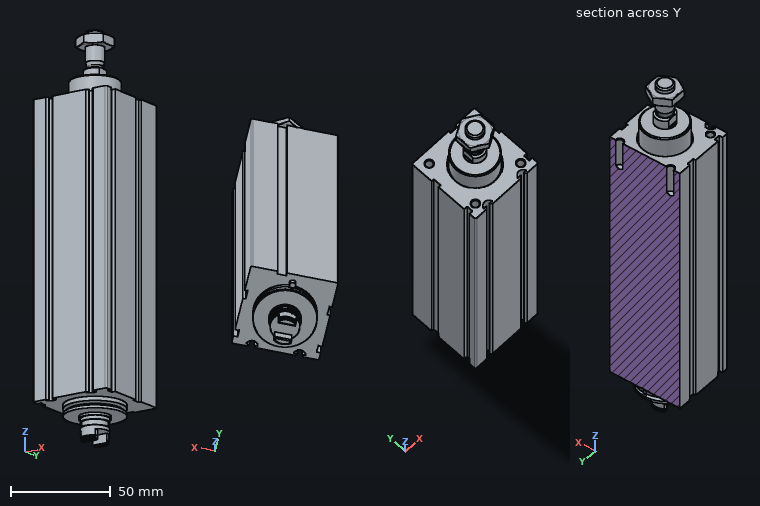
import cadquery as cq
import math

total_length = 214.8
top_z = total_length / 2
bottom_z = -total_length / 2

housing_side = 45.0
housing_half = housing_side / 2
housing_corner_radius = 0.9
housing_top_z = 70.5
housing_bottom_z = -87.5
housing_length = housing_top_z - housing_bottom_z

mount_hole_pitch = 32.5
mount_hole_offset = mount_hole_pitch / 2
mount_hole_diameter = 4.0
mount_hole_depth = 17.2
mount_hole_chamfer = 0.5
drill_point_angle = 118.0

collar_seat_diameter = 28.1
collar_seat_depth = 2.1

wide_slot_width = 4.7
wide_slot_depth = 1.5
side_slot_y = 6.0
back_slot_x = 6.2

narrow_slot_width = 3.7
narrow_slot_depth = 2.1
narrow_slot_y = -16.3

sensor_slot_x = 12.2
sensor_slot_diameter = 6.2
sensor_slot_opening = 2.1
sensor_lip_thickness = 1.3
sensor_slot_depth = 3.7
sensor_mouth_chamfer = 1.0

collar_diameter = 26.5
collar_top_z = 81.6
collar_chamfer = 0.6
collar_bottom_z = housing_top_z - collar_seat_depth

rod_diameter = 12.0
rod_flat_width = 9.9
rod_flat_bottom_z = 82.5
rod_shoulder_z = 87.9
rod_shoulder_diameter = 9.5
rod_chamfer_height = 0.9
neck_diameter = 8.5
neck_top_z = 89.1
thread_diameter = 9.9
thread_bottom_z = 91.0
thread_end_chamfer = 0.9

nut_width = 17.2
nut_face_diameter = 16.8
nut_bottom_z = 99.2
nut_height = 5.2
nut_corner_drop = 0.5

flange_diameter = 32.2
flange_groove_diameter = 28.8
flange_rim_bottom_z = -89.5
flange_groove_z = -90.6
flange_lower_rim_z = -92.0
flange_bottom_z = -93.5

stub_collar_diameter = 16.3
stub_diameter = 15.0
stub_neck_diameter = 13.7
stub_collar_bottom_z = -94.7
stub_neck_top_z = -96.7
stub_neck_bottom_z = -99.7
stub_bottom_z = -101.8

fork_gap = 8.0
fork_width = 8.8
fork_groove_top_z = -105.0
fork_groove_bottom_z = -106.0
fork_groove_depth = 0.5
fork_end_chamfer = 0.6

pin_diameter = 3.2
pin_y = 17.6
pin_bottom_z = -90.2


def cylinder(diameter, low_z, high_z):
    """Solid cylinder on the Z axis between two heights."""
    return cq.Workplane("XY").workplane(offset=low_z).circle(diameter / 2).extrude(high_z - low_z)


def turned(profile, tip_z=None):
    """Solid of revolution about Z from upward (radius, z) points, with a flat or pointed lower end."""
    low_z = profile[0][1] if tip_z is None else tip_z
    points = [(0, low_z)] + profile + [(0, profile[-1][1])]
    return cq.Workplane("XZ").polyline(points).close().revolve(360, (0, 0), (0, 1))


def full_length_slot(center_x, center_y, size_x, size_y):
    """Rectangular groove cutter that runs the whole housing length."""
    return (
        cq.Workplane("XY").workplane(offset=housing_bottom_z)
        .center(center_x, center_y).rect(size_x, size_y).extrude(housing_length)
    )


def sensor_slot(center_x):
    """Arched sensor groove, open to the -Y face through a narrow flared mouth."""
    radius = sensor_slot_diameter / 2
    crown_y = -housing_half + sensor_slot_depth
    lip_y = -housing_half + sensor_lip_thickness
    half_mouth = sensor_slot_opening / 2
    half_chord = math.sqrt(radius**2 - (lip_y - crown_y + radius) ** 2)
    chamfer_y = -housing_half + sensor_mouth_chamfer
    flare = half_mouth + sensor_mouth_chamfer
    return (
        cq.Workplane("XY").workplane(offset=housing_bottom_z).center(center_x, 0)
        .moveTo(-flare, -housing_half)
        .lineTo(-half_mouth, chamfer_y)
        .lineTo(-half_mouth, lip_y)
        .lineTo(-half_chord, lip_y)
        .threePointArc((0, crown_y), (half_chord, lip_y))
        .lineTo(half_mouth, lip_y)
        .lineTo(half_mouth, chamfer_y)
        .lineTo(flare, -housing_half)
        .close().extrude(housing_length)
    )


def mount_hole(center_x, center_y):
    """Blind drilled hole with a chamfered mouth and a conical drill point."""
    radius = mount_hole_diameter / 2
    floor_z = housing_top_z - mount_hole_depth
    point_z = floor_z - radius / math.tan(math.radians(drill_point_angle / 2))
    cutter = turned([
        (radius, floor_z),
        (radius, housing_top_z - mount_hole_chamfer),
        (radius + mount_hole_chamfer, housing_top_z),
    ], tip_z=point_z)
    return cutter.translate((center_x, center_y, 0))


def make_housing():
    """Square barrel with profile grooves, four mounting holes and a seat for the collar."""
    body = (
        cq.Workplane("XY").workplane(offset=housing_bottom_z)
        .rect(housing_side, housing_side).extrude(housing_length)
        .edges("|Z").fillet(housing_corner_radius)
    )
    wide_reach = 2 * wide_slot_depth
    narrow_reach = 2 * narrow_slot_depth
    for side in (-1, 1):
        face_x = side * housing_half
        body = body.cut(full_length_slot(face_x, side_slot_y, wide_reach, wide_slot_width))
        body = body.cut(full_length_slot(face_x, narrow_slot_y, narrow_reach, narrow_slot_width))
        body = body.cut(sensor_slot(side * sensor_slot_x))
        for end in (-1, 1):
            body = body.cut(mount_hole(side * mount_hole_offset, end * mount_hole_offset))
    body = body.cut(full_length_slot(back_slot_x, housing_half, wide_slot_width, wide_reach))
    return body.cut(cylinder(collar_seat_diameter, collar_bottom_z, housing_top_z))


def make_collar():
    """Rod guide ring, seated in the housing with a small gap around it."""
    collar = cylinder(collar_diameter, collar_bottom_z, collar_top_z)
    collar = collar.faces(">Z").edges().chamfer(collar_chamfer)
    return collar.cut(cylinder(rod_diameter, collar_bottom_z, collar_top_z))


def make_rod():
    """Stepped rod with wrench flats, an undercut neck and a threaded end at major diameter."""
    rod_radius = rod_diameter / 2
    neck_radius = neck_diameter / 2
    thread_radius = thread_diameter / 2
    rod = turned([
        (rod_radius, collar_bottom_z),
        (rod_radius, rod_shoulder_z - rod_chamfer_height),
        (rod_shoulder_diameter / 2, rod_shoulder_z),
        (neck_radius, rod_shoulder_z),
        (neck_radius, neck_top_z),
        (thread_radius, thread_bottom_z),
        (thread_radius, top_z - thread_end_chamfer),
        (thread_radius - thread_end_chamfer, top_z),
    ])
    flat_height = rod_shoulder_z - rod_flat_bottom_z
    for side in (-1, 1):
        waste = (
            cq.Workplane("XY").workplane(offset=rod_flat_bottom_z)
            .center(side * (rod_flat_width + rod_diameter) / 2, 0)
            .rect(rod_diameter, 2 * rod_diameter).extrude(flat_height)
        )
        rod = rod.cut(waste)
    return rod


def make_nut():
    """Hexagonal nut with two faces across X and its corners chamfered at both ends."""
    across_corners = nut_width / math.cos(math.pi / 6)
    prism = (
        cq.Workplane("XY").workplane(offset=nut_bottom_z)
        .transformed(rotate=(0, 0, 90)).polygon(6, across_corners).extrude(nut_height)
    )
    nut_top_z = nut_bottom_z + nut_height
    envelope = turned([
        (nut_face_diameter / 2, nut_bottom_z),
        (across_corners / 2, nut_bottom_z + nut_corner_drop),
        (across_corners / 2, nut_top_z - nut_corner_drop),
        (nut_face_diameter / 2, nut_top_z),
    ])
    return prism.intersect(envelope).cut(cylinder(thread_diameter, nut_bottom_z, nut_top_z))


def make_flange():
    """Round end flange with a V groove around its rim."""
    rim = flange_diameter / 2
    return turned([
        (rim, flange_bottom_z),
        (rim, flange_lower_rim_z),
        (flange_groove_diameter / 2, flange_groove_z),
        (rim, flange_rim_bottom_z),
        (rim, housing_bottom_z),
    ])


def make_stub():
    """Stepped spigot that ends in two curved prongs on either side of a central gap."""
    outer = stub_diameter / 2
    body = turned([
        (outer, stub_bottom_z),
        (outer, stub_neck_bottom_z),
        (stub_neck_diameter / 2, stub_neck_bottom_z),
        (stub_neck_diameter / 2, stub_neck_top_z),
        (outer, stub_neck_top_z),
        (outer, stub_collar_bottom_z),
        (stub_collar_diameter / 2, stub_collar_bottom_z),
        (stub_collar_diameter / 2, flange_bottom_z),
    ])
    fork_length = stub_bottom_z - bottom_z
    base = cq.Workplane("XY").workplane(offset=bottom_z)
    fork = cylinder(stub_diameter, bottom_z, stub_bottom_z)
    fork = fork.intersect(base.rect(fork_width, stub_diameter).extrude(fork_length))
    fork = fork.cut(base.rect(fork_width, fork_gap).extrude(fork_length))
    fork = fork.faces("<Z").chamfer(fork_end_chamfer)
    groove_core = cylinder(stub_diameter - 2 * fork_groove_depth, fork_groove_bottom_z, fork_groove_top_z)
    fork = fork.cut(cylinder(stub_diameter, fork_groove_bottom_z, fork_groove_top_z).cut(groove_core))
    return body.union(fork)


def make_pin():
    """Small locating pin under the housing, beside the flange."""
    return cylinder(pin_diameter, pin_bottom_z, housing_bottom_z).translate((0, pin_y, 0))


housing = make_housing()
collar = make_collar()
rod = make_rod()
nut = make_nut()
flange = make_flange()
stub = make_stub()
pin = make_pin()

result = cq.Compound.makeCompound([
    housing.val(), collar.val(), rod.val(), nut.val(), flange.val(), stub.val(), pin.val(),
])